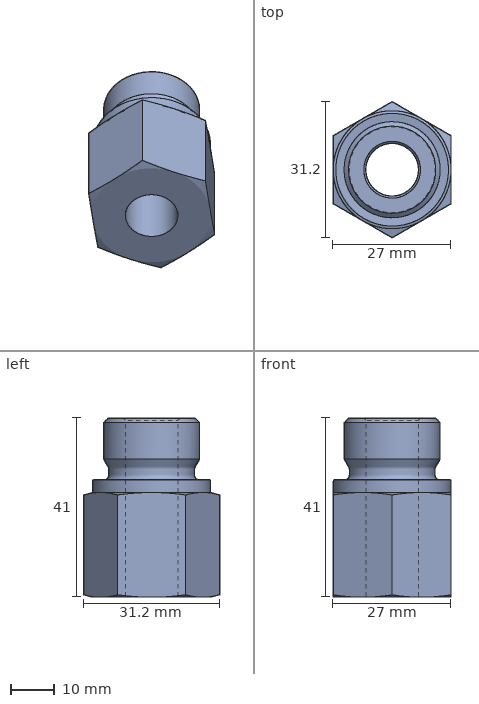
import cadquery as cq
import math

total_height = 41.0
across_flats = 27.0
hex_height = 24.0
hex_chamfer_angle = math.radians(15)
collar_edge_height = 26.85
rim_radius = 12.9
rim_height = 27.0
recess_angle = math.radians(6.8)
neck_radius = 19.7 / 2
neck_bottom = 28.0
lower_fillet = 1.2
neck_top = 29.27
upper_fillet = 1.15
undercut_angle = math.radians(30)
thread_radius = 22.0 / 2
end_chamfer = 1.02
bore_diameter = 12.0
bore_chamfer = 0.5

collar_radius = across_flats / 2
corner_diameter = across_flats / math.cos(math.radians(30))


def on_arc(center, radius, angle):
    """Return the point at the given angle on a circle in the radius-height plane."""
    return (center[0] + radius * math.cos(angle), center[1] + radius * math.sin(angle))


def make_hex():
    """Hexagon with corners on the Y axis, turned to a shallow cone at both ends."""
    prism = (
        cq.Workplane("XY")
        .polygon(6, corner_diameter)
        .extrude(hex_height)
        .rotate((0, 0, 0), (0, 0, 1), 90)
    )
    corner_radius = corner_diameter / 2
    corner_drop = (corner_radius - collar_radius) * math.tan(hex_chamfer_angle)
    envelope = (
        cq.Workplane("XZ")
        .moveTo(0, 0)
        .lineTo(collar_radius, 0)
        .lineTo(corner_radius, corner_drop)
        .lineTo(corner_radius, hex_height - corner_drop)
        .lineTo(collar_radius, hex_height)
        .lineTo(0, hex_height)
        .close()
        .revolve(360, (0, 0, 0), (0, 1, 0))
    )
    return prism.intersect(envelope)


def make_spigot():
    """Collar with a raised sealing rim, filleted neck and plain thread cylinder."""
    lower_center = (neck_radius + lower_fillet, neck_bottom)
    lower_start_angle = -math.pi / 2 + recess_angle
    lower_start = on_arc(lower_center, lower_fillet, lower_start_angle)
    lower_middle = on_arc(lower_center, lower_fillet, (lower_start_angle - math.pi) / 2)

    upper_center = (neck_radius + upper_fillet, neck_top)
    upper_middle = on_arc(upper_center, upper_fillet, math.pi - undercut_angle / 2)
    upper_end = on_arc(upper_center, upper_fillet, math.pi - undercut_angle)
    undercut_top = upper_end[1] + (thread_radius - upper_end[0]) / math.tan(undercut_angle)

    return (
        cq.Workplane("XZ")
        .moveTo(0, hex_height)
        .lineTo(collar_radius, hex_height)
        .lineTo(collar_radius, collar_edge_height)
        .lineTo(rim_radius, rim_height)
        .lineTo(*lower_start)
        .threePointArc(lower_middle, (neck_radius, neck_bottom))
        .lineTo(neck_radius, neck_top)
        .threePointArc(upper_middle, upper_end)
        .lineTo(thread_radius, undercut_top)
        .lineTo(thread_radius, total_height - end_chamfer)
        .lineTo(thread_radius - end_chamfer, total_height)
        .lineTo(0, total_height)
        .close()
        .revolve(360, (0, 0, 0), (0, 1, 0))
    )


def cut_bore(body):
    """Through bore with a chamfered mouth at the upper end."""
    bored = body.faces(">Z").workplane(origin=(0, 0, 0)).hole(bore_diameter)
    smallest_circle = cq.selectors.RadiusNthSelector(0)
    return bored.faces(">Z").edges(smallest_circle).chamfer(bore_chamfer)


result = cut_bore(make_hex().union(make_spigot()))